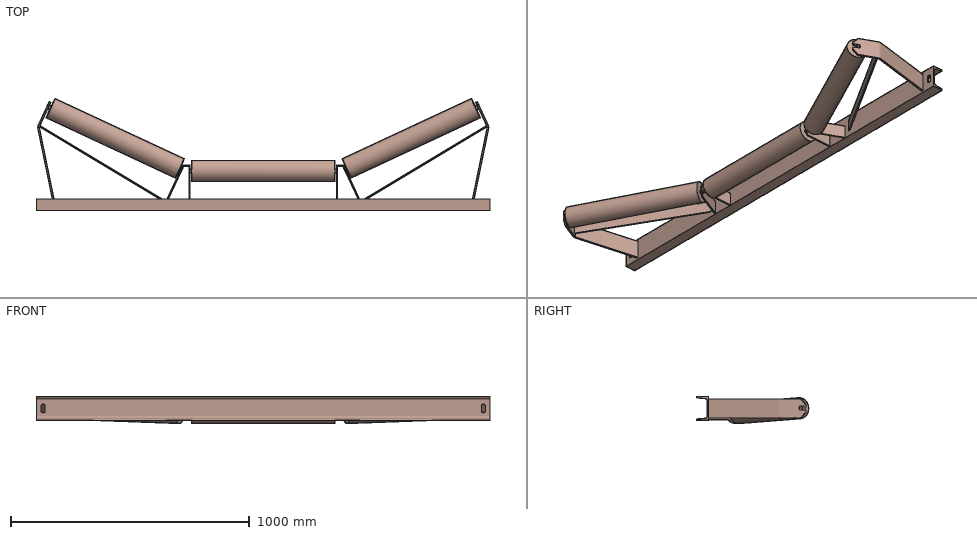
import cadquery as cq
import math


CHANNEL_LENGTH = 1900.0
CHANNEL_HEIGHT = 100.0
FLANGE_WIDTH = 50.0
WEB_THICKNESS = 6.0
FLANGE_ROOT_THICKNESS = 10.3
FLANGE_TIP_THICKNESS = 6.8
ROOT_RADIUS = 8.5
TOE_RADIUS = 4.5
END_SLOT_LENGTH = 36.0
END_SLOT_WIDTH = 17.0
END_SLOT_INSET = 28.0

ROLLER_DIAMETER = 90.0
SHAFT_DIAMETER = 17.0
CENTER_ROLLER_LENGTH = 600.0
WING_ROLLER_LENGTH = 597.0
CENTER_ROLLER_Y = 115.0
CENTER_ROLLER_Z = -19.0
TROUGH_ANGLE = math.radians(25)
FORWARD_TILT = math.radians(1.9)
WING_INNER_X = 350.0
WING_INNER_Y = 127.0
WING_INNER_Z = -19.0

INNER_HEIGHT = 57.0
INNER_CHAMFER = 15.0
INNER_THICKNESS = 5.0
INNER_GAP = 5.0
INNER_BRACKET_TOP = 140.0
OUTER_HEIGHT = 80.0
OUTER_CHAMFER = 20.0
OUTER_THICKNESS = 8.0
OUTER_GAP = 10.0
OUTER_FOOT_X = 880.0
OUTER_TIP_REACH = 23.0
OUTER_BEND_REACH = 93.0
BEND_RADIUS = 25.0
BRACE_THICKNESS = 5.0
BRACE_HEIGHT = 50.0
BRACE_FOOT_X = 430.0
BRACE_REACH = 87.0

SIDES = (-1, 1)
FOOT_OVERRUN = 19.0

sin_trough = math.sin(TROUGH_ANGLE)
cos_trough = math.cos(TROUGH_ANGLE)


def wing_axis(side):
    """Unit vector along a wing roller, from its inner to its outer end."""
    flat = math.cos(FORWARD_TILT)
    return cq.Vector(side * cos_trough * flat, sin_trough * flat, math.sin(FORWARD_TILT))


def wing_normal(side):
    """Unit vector square to a wing roller in plan, pointing away from the beam."""
    return cq.Vector(-side * sin_trough, cos_trough, 0)


def wing_inner_end(side):
    return cq.Vector(side * WING_INNER_X, WING_INNER_Y, WING_INNER_Z)


def wing_outer_end(side):
    return wing_inner_end(side) + wing_axis(side) * WING_ROLLER_LENGTH


def make_roller(start, axis, length, start_stub, end_stub):
    """Roller from `start` along `axis`, with a shaft stub on each end."""
    shell = cq.Solid.makeCylinder(ROLLER_DIAMETER / 2, length, start, axis)
    shaft_start = start - axis * start_stub
    shaft_length = start_stub + length + end_stub
    shaft = cq.Solid.makeCylinder(SHAFT_DIAMETER / 2, shaft_length, shaft_start, axis)
    return shell.fuse(shaft)


def shaft_slot(end, outward, opening, depth):
    """Cutter for a round-bottomed slot around a shaft, open in the `opening` direction."""
    plane = cq.Plane(origin=end, xDir=opening, normal=outward)
    reach = ROLLER_DIAMETER
    seat = cq.Workplane(plane).circle(SHAFT_DIAMETER / 2).extrude(depth)
    throat = cq.Workplane(plane).center(reach / 2, 0).rect(reach, SHAFT_DIAMETER).extrude(depth)
    return seat.union(throat)


def make_strip(path, thickness, height):
    """Upright strip that follows the (x, y) points of `path`, with mitred bends."""
    points = [cq.Vector(x, y, 0) for x, y in path]
    runs = [(b - a).normalized() for a, b in zip(points, points[1:])]
    normals = [cq.Vector(-run.y, run.x, 0) for run in runs]
    left = []
    right = []
    for point, before, after in zip(points, normals[:1] + normals, normals + normals[-1:]):
        mitre = (before + after) / (1 + before.dot(after)) * (thickness / 2)
        left.append((point + mitre).toTuple()[:2])
        right.append((point - mitre).toTuple()[:2])
    outline = left + right[::-1]
    return cq.Workplane("XY").polyline(outline).close().extrude(height / 2, both=True)


def trim_at_web(strip):
    """Remove whatever lies in front of the web's back face."""
    room = cq.Workplane("XY").box(2 * CHANNEL_LENGTH, CHANNEL_LENGTH, CHANNEL_HEIGHT)
    return strip.cut(room.translate((0, -CHANNEL_LENGTH / 2, 0)))


def foot_past_web(foot_x, top):
    """Lower end (x, y) of a sloping strip that comes from `top` and crosses Y = 0 at `foot_x`."""
    x_per_y = (top[0] - foot_x) / top[1]
    return (foot_x - x_per_y * FOOT_OVERRUN, -FOOT_OVERRUN)


def make_channel():
    top = CHANNEL_HEIGHT / 2
    root = top - FLANGE_ROOT_THICKNESS
    tip = top - FLANGE_TIP_THICKNESS
    outline = [
        (0, -top), (-FLANGE_WIDTH, -top), (-FLANGE_WIDTH, -tip), (-WEB_THICKNESS, -root),
        (-WEB_THICKNESS, root), (-FLANGE_WIDTH, tip), (-FLANGE_WIDTH, top), (0, top),
    ]
    channel = cq.Workplane("YZ").polyline(outline).close().extrude(CHANNEL_LENGTH / 2, both=True)
    for z in (-1, 1):
        root_edge = cq.selectors.NearestToPointSelector((0, -WEB_THICKNESS, z * root))
        toe_edge = cq.selectors.NearestToPointSelector((0, -FLANGE_WIDTH, z * tip))
        channel = channel.edges(root_edge).fillet(ROOT_RADIUS)
        channel = channel.edges(toe_edge).fillet(TOE_RADIUS)
    slot_x = CHANNEL_LENGTH / 2 - END_SLOT_INSET
    slots = (
        cq.Workplane("XZ").pushPoints([(-slot_x, 0), (slot_x, 0)])
        .slot2D(END_SLOT_LENGTH, END_SLOT_WIDTH, 90).extrude(FLANGE_WIDTH)
    )
    return channel.cut(slots)


def make_center_roller():
    start = cq.Vector(-CENTER_ROLLER_LENGTH / 2, CENTER_ROLLER_Y, CENTER_ROLLER_Z)
    stub = INNER_GAP + INNER_THICKNESS
    return make_roller(start, cq.Vector(1, 0, 0), CENTER_ROLLER_LENGTH, stub, stub)


def make_wing_roller(side):
    inner_stub = INNER_GAP + INNER_THICKNESS
    outer_stub = OUTER_GAP + OUTER_THICKNESS
    return make_roller(wing_inner_end(side), wing_axis(side), WING_ROLLER_LENGTH, inner_stub, outer_stub)


def chamfered_envelope():
    """Bar along X whose section trims the two outermost corners of an inner bracket."""
    half = INNER_HEIGHT / 2
    shoulder = INNER_BRACKET_TOP - INNER_CHAMFER
    section = [
        (0, -half), (shoulder, -half), (INNER_BRACKET_TOP, INNER_CHAMFER - half),
        (INNER_BRACKET_TOP, half - INNER_CHAMFER), (shoulder, half), (0, half),
    ]
    return cq.Workplane("YZ").polyline(section).close().extrude(CHANNEL_LENGTH / 2, both=True)


def make_inner_bracket(side):
    """Two legs joined by a bridge: one leg holds the center roller, the other a wing roller."""
    to_middle = INNER_GAP + INNER_THICKNESS / 2
    upright_x = side * (CENTER_ROLLER_LENGTH / 2 + to_middle)
    bridge_y = INNER_BRACKET_TOP - INNER_THICKNESS / 2
    seat = wing_inner_end(side) - wing_axis(side) * to_middle

    def leaning_leg(y):
        return (seat.x - side * (y - seat.y) * math.tan(TROUGH_ANGLE), y)

    path = [
        (upright_x, -FOOT_OVERRUN), (upright_x, bridge_y),
        leaning_leg(bridge_y), leaning_leg(-FOOT_OVERRUN),
    ]
    bracket = trim_at_web(make_strip(path, INNER_THICKNESS, INNER_HEIGHT))
    bracket = bracket.intersect(chamfered_envelope()).translate((0, 0, CENTER_ROLLER_Z))
    slot_depth = INNER_GAP + INNER_THICKNESS
    center_end = cq.Vector(side * CENTER_ROLLER_LENGTH / 2, CENTER_ROLLER_Y, CENTER_ROLLER_Z)
    center_slot = shaft_slot(center_end, cq.Vector(side, 0, 0), cq.Vector(0, 1, 0), slot_depth)
    wing_slot = shaft_slot(wing_inner_end(side), -wing_axis(side), wing_normal(side), slot_depth)
    return bracket.cut(center_slot).cut(wing_slot)


def outer_bracket_point(side, reach):
    """Point (x, y) in the middle of the outer bracket's upper run, `reach` past the wing axis."""
    seat = wing_outer_end(side) + wing_axis(side) * (OUTER_GAP + OUTER_THICKNESS / 2)
    point = seat + wing_normal(side) * reach
    return (point.x, point.y)


def make_outer_bracket(side):
    """Bent strip from the web to the outer end of a wing roller."""
    bend = outer_bracket_point(side, -OUTER_BEND_REACH)
    tip = outer_bracket_point(side, OUTER_TIP_REACH)
    path = [foot_past_web(side * OUTER_FOOT_X, bend), bend, tip]
    bracket = trim_at_web(make_strip(path, OUTER_THICKNESS, OUTER_HEIGHT))
    bracket = bracket.edges("|Z").edges("<X" if side < 0 else ">X").fillet(BEND_RADIUS)
    tip_face = bracket.faces(cq.selectors.DirectionMinMaxSelector(wing_normal(side)))
    bracket = tip_face.edges(">Z or <Z").chamfer(OUTER_CHAMFER)
    slot_depth = OUTER_GAP + OUTER_THICKNESS
    return bracket.cut(shaft_slot(wing_outer_end(side), wing_axis(side), wing_normal(side), slot_depth))


def make_brace(side, outer_bracket):
    """Straight strip from the web to the inside of the outer bracket's bend."""
    top = outer_bracket_point(side, -BRACE_REACH)
    path = [foot_past_web(side * BRACE_FOOT_X, top), top]
    return trim_at_web(make_strip(path, BRACE_THICKNESS, BRACE_HEIGHT)).cut(outer_bracket)


channel = make_channel()
center_roller = make_center_roller()
bodies = [channel.val(), center_roller]
for side in SIDES:
    outer_bracket = make_outer_bracket(side)
    bodies.append(make_wing_roller(side))
    bodies.append(make_inner_bracket(side).val())
    bodies.append(outer_bracket.val())
    bodies.append(make_brace(side, outer_bracket).val())

result = cq.Compound.makeCompound(bodies)